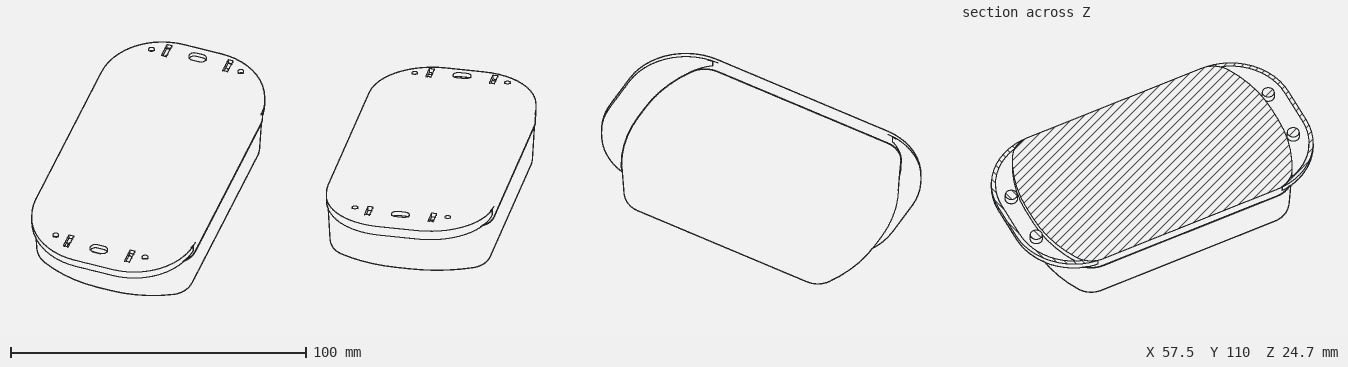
import cadquery as cq
import math

LENGTH = 110.0
WIDTH = 57.5
HEIGHT = 24.7

LID_CORNER_RADIUS = 22.0
LID_EDGE_FILLET = 1.5
PLATE_THICKNESS = 2.6
SHELL_WALL = 1.5
RIM_HEIGHT = 7.0

PLUG_LENGTH = 93.0
PLUG_CORNER_RADIUS = 9.0
TRAY_INSET = 0.2
END_FLAT = 5.0
DRAFT_ANGLE = 3.0
TRAY_BOTTOM_FILLET = 4.1

CAP_TIP_Y = 34.9
CAP_BOTTOM_FILLET = 2.7
CAVITY_FILLET = 1.5
POST_RADIUS = 2.1
POST_X = 9.5
POST_Y = 48.6

SCREW_HOLE_DIAMETER = 2.0
SCREW_HOLE_X = 16.1
SCREW_HOLE_Y = 48.2
MOUNT_SLOT_LENGTH = 6.2
MOUNT_SLOT_WIDTH = 3.7
MOUNT_SLOT_Y = 49.7
CLIP_SLOT_LENGTH = 5.6
CLIP_SLOT_WIDTH = 1.8
CLIP_SLOT_X = 11.0
CLIP_SLOT_Y = 49.4

SPLIT_Z = HEIGHT - RIM_HEIGHT
SEAM_Z = HEIGHT - PLATE_THICKNESS
CAP_HEIGHT = SEAM_Z - SPLIT_Z
SIDE_END_Y = LENGTH / 2 - LID_CORNER_RADIUS


def four_places(x, y):
    """The point (x, y) mirrored into all four quadrants."""
    return [(sx * x, sy * y) for sx in (-1, 1) for sy in (-1, 1)]


def rim_block(bottom_z, height, inset=0.0):
    """Rounded rectangle of the lid, moved inward by inset and extruded upward."""
    return (
        cq.Workplane("XY", origin=(0, 0, bottom_z))
        .rect(WIDTH - 2 * inset, LENGTH - 2 * inset)
        .extrude(height)
        .edges("|Z")
        .fillet(LID_CORNER_RADIUS - inset)
    )


def bowed_outline(z, inset=0.0):
    """Closed outline with straight sides, round corners and bowed ends, all tangent."""
    half_width = WIDTH / 2 - inset
    half_length = PLUG_LENGTH / 2 - inset
    half_flat = END_FLAT / 2
    corner_radius = PLUG_CORNER_RADIUS - inset
    corner_x = half_width - corner_radius

    across = corner_x - half_flat
    rise = half_length - SIDE_END_Y
    bow_radius = (across**2 + rise**2 - corner_radius**2) / (2 * (rise - corner_radius))
    bow_center_y = half_length - bow_radius
    joint_angle = math.atan2(SIDE_END_Y - bow_center_y, across)

    def on_corner(angle):
        return (
            corner_x + corner_radius * math.cos(angle),
            SIDE_END_Y + corner_radius * math.sin(angle),
        )

    def on_bow(angle):
        return (
            half_flat + bow_radius * math.cos(angle),
            bow_center_y + bow_radius * math.sin(angle),
        )

    quarter = (
        cq.Workplane("XY", origin=(0, 0, z))
        .moveTo(half_width, 0)
        .lineTo(half_width, SIDE_END_Y)
        .threePointArc(on_corner(joint_angle / 2), on_corner(joint_angle))
        .threePointArc(on_bow((joint_angle + math.pi / 2) / 2), (half_flat, half_length))
        .lineTo(0, half_length)
    )
    return quarter.mirrorY().mirrorX()


def plug_block():
    """Straight-walled block as wide as the lid plate, from the tray up to the cavity ceiling."""
    return bowed_outline(SPLIT_Z).extrude(RIM_HEIGHT - SHELL_WALL)


def end_cavities():
    """Rounded block whose two ends, outside the plug, are hollow in the lid and the end caps."""
    block = rim_block(SPLIT_Z + SHELL_WALL, RIM_HEIGHT - 2 * SHELL_WALL, inset=SHELL_WALL)
    return block.faces("<Z").edges().fillet(CAVITY_FILLET)


def make_lid():
    plate = rim_block(SEAM_Z, PLATE_THICKNESS).faces(">Z").edges().fillet(LID_EDGE_FILLET)
    lid = plate.cut(end_cavities()).union(plug_block()).clean()

    openings = cq.Workplane("XY", origin=(0, 0, SEAM_Z))
    screw_holes = (
        openings.pushPoints(four_places(SCREW_HOLE_X, SCREW_HOLE_Y))
        .circle(SCREW_HOLE_DIAMETER / 2)
        .extrude(PLATE_THICKNESS)
    )
    clip_slots = (
        openings.pushPoints(four_places(CLIP_SLOT_X, CLIP_SLOT_Y))
        .rect(CLIP_SLOT_WIDTH, CLIP_SLOT_LENGTH)
        .extrude(PLATE_THICKNESS)
    )
    mount_slots = (
        openings.pushPoints([(0, -MOUNT_SLOT_Y), (0, MOUNT_SLOT_Y)])
        .slot2D(MOUNT_SLOT_LENGTH, MOUNT_SLOT_WIDTH)
        .extrude(PLATE_THICKNESS)
    )
    return lid.cut(screw_holes).cut(clip_slots).cut(mount_slots)


def make_tray():
    tray = bowed_outline(SPLIT_Z, TRAY_INSET).extrude(-SPLIT_Z, taper=DRAFT_ANGLE)
    return tray.faces("<Z").edges().fillet(TRAY_BOTTOM_FILLET)


def make_end_cap(side):
    """Hollow crescent under one end of the lid; side is +1 or -1 along Y."""
    shell = rim_block(SPLIT_Z, CAP_HEIGHT).faces("<Z").edges().fillet(CAP_BOTTOM_FILLET)
    posts = (
        cq.Workplane("XY", origin=(0, 0, SPLIT_Z + SHELL_WALL))
        .pushPoints([(-POST_X, side * POST_Y), (POST_X, side * POST_Y)])
        .circle(POST_RADIUS)
        .extrude(CAP_HEIGHT - SHELL_WALL)
    )
    end_depth = LENGTH / 2 - CAP_TIP_Y
    end_zone = (
        cq.Workplane("XY", origin=(0, side * (CAP_TIP_Y + end_depth / 2), SPLIT_Z))
        .rect(WIDTH, end_depth)
        .extrude(CAP_HEIGHT)
    )
    return shell.cut(end_cavities()).union(posts).cut(plug_block()).intersect(end_zone)


lid = make_lid()
tray = make_tray()
end_caps = [make_end_cap(side) for side in (-1, 1)]

result = cq.Compound.makeCompound([lid.val(), tray.val(), *[cap.val() for cap in end_caps]])